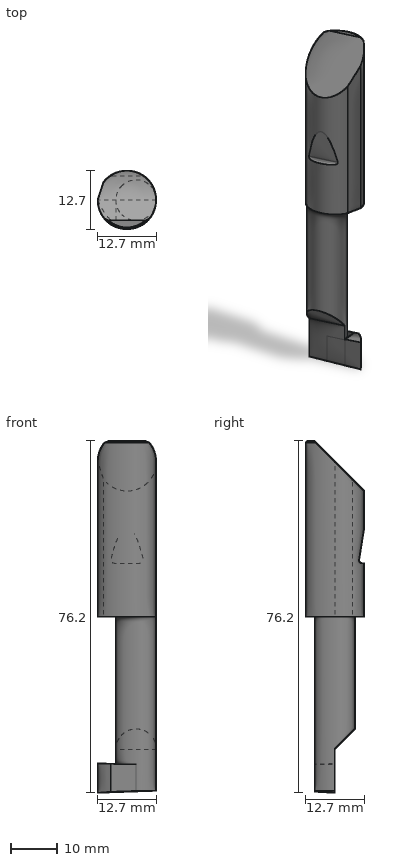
import cadquery as cq
import math

total_length = 76.2
shank_diameter = 12.7
shank_radius = shank_diameter / 2
shank_bottom = total_length / 2
neck_radius = 4.4
neck_center_x = shank_radius - neck_radius
neck_left_x = neck_center_x - neck_radius

top_chamfer = 0.4
bevel_start_y = -4.45
flat_half_angle = 18.0
notch_bottom = 49.75
notch_depth = 1.2
notch_ramp_angle = 9.0
notch_fillet = 0.6

rake_start_z = 9.5
head_height = 6.25
head_corner_x = -3.5
nose_radius = 12.7
top_relief_angle = 1.0
bottom_relief_angle = 2.0

margin = 2.0
tool_width = 4 * shank_diameter


def yz_prism(points):
    """Prism through the full part width, from (Y, Z) outline points."""
    half_width = shank_radius + margin
    return cq.Workplane("YZ").polyline(points).close().extrude(half_width, both=True)


def tilted_plane(point, x_slope, y_slope):
    """Workplane through a point, rising by the given slopes along X and Y."""
    return cq.Workplane(cq.Plane(origin=point, xDir=(1, 0, x_slope), normal=(-x_slope, -y_slope, 1)))


def make_shank():
    shank = cq.Workplane("XY").workplane(offset=shank_bottom).circle(shank_radius)
    shank = shank.extrude(total_length - shank_bottom).faces(">Z").chamfer(top_chamfer)
    shank = shank.cut(make_end_bevel())
    shank = shank.cut(make_side_flat())
    return shank.cut(make_notch())


def make_end_bevel():
    reach = shank_radius + margin - bevel_start_y
    return yz_prism([
        (bevel_start_y - margin, total_length + margin),
        (bevel_start_y + reach, total_length - reach),
        (bevel_start_y + reach, total_length + margin),
    ])


def make_side_flat():
    flat_distance = shank_radius * math.cos(math.radians(flat_half_angle))
    cutter = cq.Workplane("XY").box(margin, shank_diameter, total_length, centered=(False, True, False))
    cutter = cutter.translate((flat_distance, 0, 0))
    return cutter.rotate((0, 0, 0), (0, 0, 1), 180 - flat_half_angle)


def make_notch():
    floor_y = shank_radius - notch_depth
    mouth_y = shank_radius + margin
    ramp_rise = (mouth_y - floor_y) / math.tan(math.radians(notch_ramp_angle))
    notch = yz_prism([
        (mouth_y, notch_bottom),
        (floor_y, notch_bottom),
        (mouth_y, notch_bottom + ramp_rise),
    ])
    return notch.edges("|X and <Y").fillet(notch_fillet)


def make_neck():
    neck = cq.Workplane("XY").center(neck_center_x, 0).circle(neck_radius).extrude(shank_bottom)
    reach = neck_radius + margin
    return neck.cut(yz_prism([
        (0, -margin),
        (0, rake_start_z),
        (reach, rake_start_z + reach),
        (reach, -margin),
    ]))


def make_head():
    """Hook-shaped cutting head in front of the Y = 0 rake face."""
    relief = math.tan(math.radians(top_relief_angle))
    tip = (-shank_radius, 0)
    corner = (head_corner_x, -neck_radius)

    chord_x = corner[0] - tip[0]
    chord_y = corner[1] - tip[1]
    chord = math.hypot(chord_x, chord_y)
    bulge = nose_radius - math.sqrt(nose_radius**2 - (chord / 2) ** 2)
    nose_middle = (
        (tip[0] + corner[0]) / 2 + bulge * chord_y / chord,
        (tip[1] + corner[1]) / 2 - bulge * chord_x / chord,
    )
    outline = (
        cq.Workplane("XY")
        .moveTo(*tip)
        .threePointArc(nose_middle, corner)
        .lineTo(neck_left_x, -neck_radius)
        .lineTo(neck_left_x, 0)
        .close()
    )
    hook = outline.extrude(head_height + margin)

    top_relief = tilted_plane((neck_left_x, -neck_radius, head_height), -relief, relief)
    top_relief = top_relief.rect(tool_width, tool_width).extrude(2 * margin)
    hook = hook.cut(top_relief)

    web_length = neck_center_x - neck_left_x
    web = cq.Workplane("XY").box(web_length, neck_radius, head_height, centered=False)
    web = web.translate((neck_left_x, -neck_radius, 0))
    return hook.union(web)


def make_bottom_relief():
    """Tool below the end face, which rises from the tip toward +X and -Y."""
    relief = math.tan(math.radians(bottom_relief_angle))
    plane = tilted_plane((-shank_radius, 0, 0), relief, -relief)
    return plane.rect(tool_width, tool_width).extrude(-2 * margin)


result = make_shank().union(make_neck()).union(make_head()).cut(make_bottom_relief())